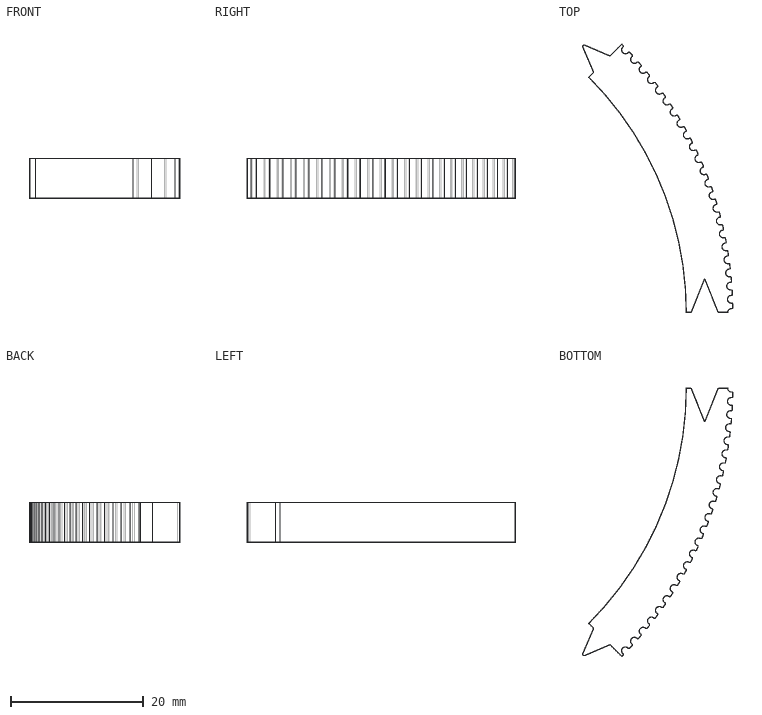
import cadquery as cq
import math

segment_length = 40.35
segment_angle = 45.0
thickness = 6.0
inner_radius = 50.02
outer_radius = segment_length / math.sin(math.radians(segment_angle))

groove_pitch_angle = 2.0
groove_count = 23
groove_radius = 0.55
groove_depth = 0.75
lip_radius = 0.15

joint_radius = 52.8
notch_half_width = 2.0
notch_depth = 5.05
joint_clearance = 0.25
corner_radius = 0.25

flank_angle = math.atan2(notch_half_width, notch_depth)
spike_half_width = notch_half_width - joint_clearance / math.cos(flank_angle)
spike_length = notch_depth - joint_clearance / math.sin(flank_angle)

overlap = 0.4


def point_on_ring(radius, angle):
    return (radius * math.cos(math.radians(angle)), radius * math.sin(math.radians(angle)))


def ring_segment():
    middle_angle = segment_angle / 2
    return (
        cq.Workplane("XY")
        .moveTo(inner_radius, 0)
        .lineTo(outer_radius, 0)
        .threePointArc(point_on_ring(outer_radius, middle_angle), point_on_ring(outer_radius, segment_angle))
        .lineTo(*point_on_ring(inner_radius, segment_angle))
        .threePointArc(point_on_ring(inner_radius, middle_angle), (inner_radius, 0))
        .close()
        .extrude(thickness)
    )


def cut_notch(body):
    notch = (
        cq.Workplane("XY")
        .polyline([
            (joint_radius - notch_half_width, 0),
            (joint_radius, notch_depth),
            (joint_radius + notch_half_width, 0),
        ])
        .close()
        .extrude(thickness)
    )
    body = body.cut(notch)
    for side in (-1, 1):
        mouth_corner = (joint_radius + side * notch_half_width, 0, thickness / 2)
        body = body.edges(cq.selectors.NearestToPointSelector(mouth_corner)).fillet(corner_radius)
    return body


def spike():
    """Spike with a rounded tip, built along +Y and then turned onto the end face."""
    blank = (
        cq.Workplane("XY")
        .polyline([
            (joint_radius - spike_half_width, 0),
            (joint_radius, spike_length),
            (joint_radius + spike_half_width, 0),
            (joint_radius, -overlap),
        ])
        .close()
        .extrude(thickness)
    )
    rounded = blank.edges("|Z and >Y").fillet(corner_radius)
    return rounded.rotate((0, 0, 0), (0, 0, 1), segment_angle)


def groove_cutter():
    """Round-bottomed groove on the X axis whose lips blend tangentially into the rim."""
    wall_end = outer_radius - groove_depth + groove_radius
    lip_y = groove_radius + lip_radius
    lip_x = math.sqrt((outer_radius - lip_radius) ** 2 - lip_y ** 2)
    rim_angle = math.atan2(lip_y, lip_x)
    rim_x = outer_radius * math.cos(rim_angle)
    rim_y = outer_radius * math.sin(rim_angle)
    middle_angle = (rim_angle - math.pi / 2) / 2
    middle_x = lip_x + lip_radius * math.cos(middle_angle)
    middle_y = lip_y + lip_radius * math.sin(middle_angle)
    return (
        cq.Workplane("XY")
        .moveTo(outer_radius + overlap, rim_y)
        .lineTo(rim_x, rim_y)
        .threePointArc((middle_x, middle_y), (lip_x, groove_radius))
        .lineTo(wall_end, groove_radius)
        .threePointArc((outer_radius - groove_depth, 0), (wall_end, -groove_radius))
        .lineTo(lip_x, -groove_radius)
        .threePointArc((middle_x, -middle_y), (rim_x, -rim_y))
        .lineTo(outer_radius + overlap, -rim_y)
        .close()
        .extrude(thickness)
    )


def cut_grooves(body):
    cutter = groove_cutter()
    for index in range(groove_count):
        body = body.cut(cutter.rotate((0, 0, 0), (0, 0, 1), index * groove_pitch_angle))
    return body


result = cut_grooves(cut_notch(ring_segment()).union(spike()))